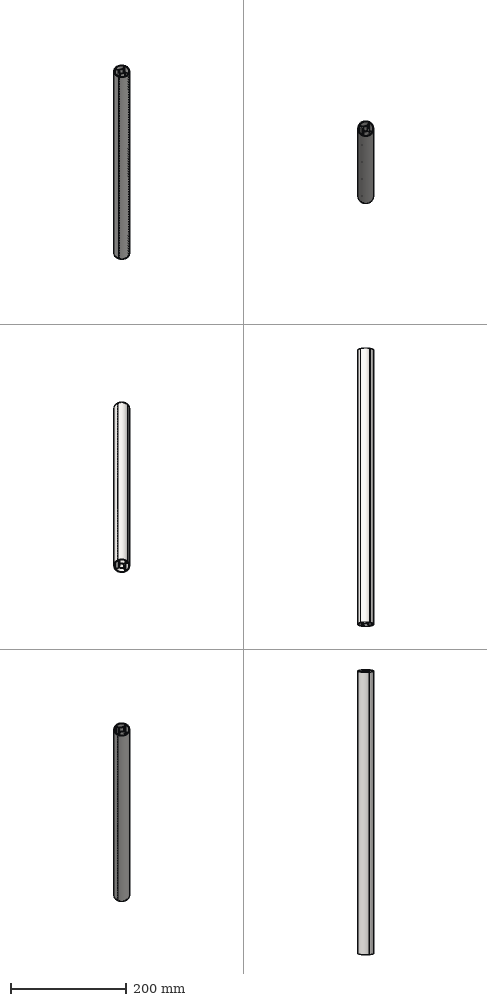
import cadquery as cq

length = 500.0
outer_diameter = 28.0
wall = 1.9
core_outer_side = 11.0
core_wall = 2.0
web_thickness = 1.5

inner_diameter = outer_diameter - 2 * wall
core_inner_side = core_outer_side - 2 * core_wall
web_span = outer_diameter - wall


def diamond_bar(side):
    """Square bar turned so its corners point along X and Y."""
    return cq.Workplane("XY").rect(side, side).extrude(length).rotate((0, 0, 0), (0, 0, 1), 45)


tube = cq.Workplane("XY").circle(outer_diameter / 2).circle(inner_diameter / 2).extrude(length)
web_x = cq.Workplane("XY").rect(web_span, web_thickness).extrude(length)
web_y = cq.Workplane("XY").rect(web_thickness, web_span).extrude(length)

spokes = web_x.union(web_y).union(diamond_bar(core_outer_side))
result = tube.union(spokes).cut(diamond_bar(core_inner_side))